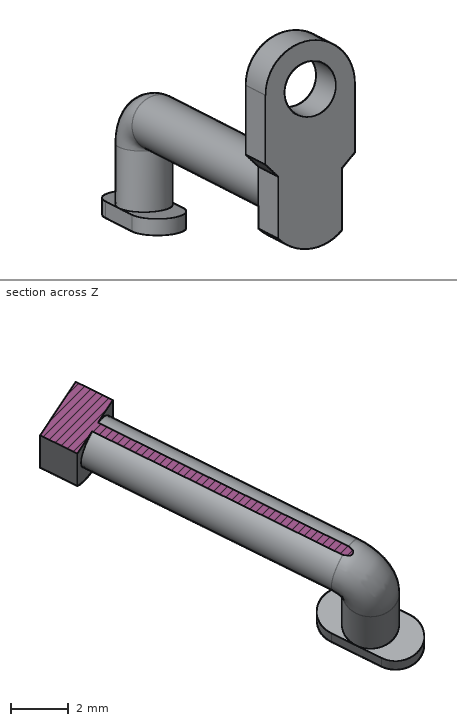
import cadquery as cq
import math

rod_diameter = 2.0
rod_radius = rod_diameter / 2
bend_radius = rod_radius
bend_angle = 90
rod_axis_height = 3.8

foot_length = 4.0
foot_width = rod_diameter
foot_thickness = 0.6

plate_thickness = 1.5
plate_end_x = 12.5
plate_start_x = plate_end_x - plate_thickness
head_width = 3.5
head_radius = head_width / 2
neck_width = 2.5
shoulder_drop = 0.5
eye_diameter = 2.0
eye_height = 7.8
shoulder_height = 5.3
bottom_radius = head_radius


def make_foot():
    return cq.Workplane("XY").slot2D(foot_length, foot_width).extrude(foot_thickness)


def make_rod():
    bend_start_height = rod_axis_height - bend_radius
    leg = (
        cq.Workplane("XY", origin=(0, 0, foot_thickness))
        .circle(rod_radius)
        .extrude(bend_start_height - foot_thickness)
    )
    bend = (
        cq.Workplane("XY", origin=(0, 0, bend_start_height))
        .circle(rod_radius)
        .revolve(bend_angle, (bend_radius, 0, 0), (bend_radius, 1, 0))
    )
    arm = (
        cq.Workplane("YZ", origin=(bend_radius, 0, rod_axis_height))
        .circle(rod_radius)
        .extrude(plate_start_x - bend_radius)
    )
    return leg.union(bend).union(arm)


def make_eye_plate():
    half_neck = neck_width / 2
    neck_top = shoulder_height - shoulder_drop
    neck_bottom = rod_axis_height - math.sqrt(bottom_radius**2 - half_neck**2)
    plate = (
        cq.Workplane("YZ", origin=(plate_start_x, 0, 0))
        .moveTo(head_radius, eye_height)
        .threePointArc((0, eye_height + head_radius), (-head_radius, eye_height))
        .lineTo(-head_radius, shoulder_height)
        .lineTo(-half_neck, neck_top)
        .lineTo(-half_neck, neck_bottom)
        .threePointArc((0, rod_axis_height - bottom_radius), (half_neck, neck_bottom))
        .lineTo(half_neck, neck_top)
        .lineTo(head_radius, shoulder_height)
        .close()
        .extrude(plate_thickness)
    )
    eye = (
        cq.Workplane("YZ", origin=(plate_start_x, 0, eye_height))
        .circle(eye_diameter / 2)
        .extrude(plate_thickness)
    )
    return plate.cut(eye)


result = make_foot().union(make_rod()).union(make_eye_plate())